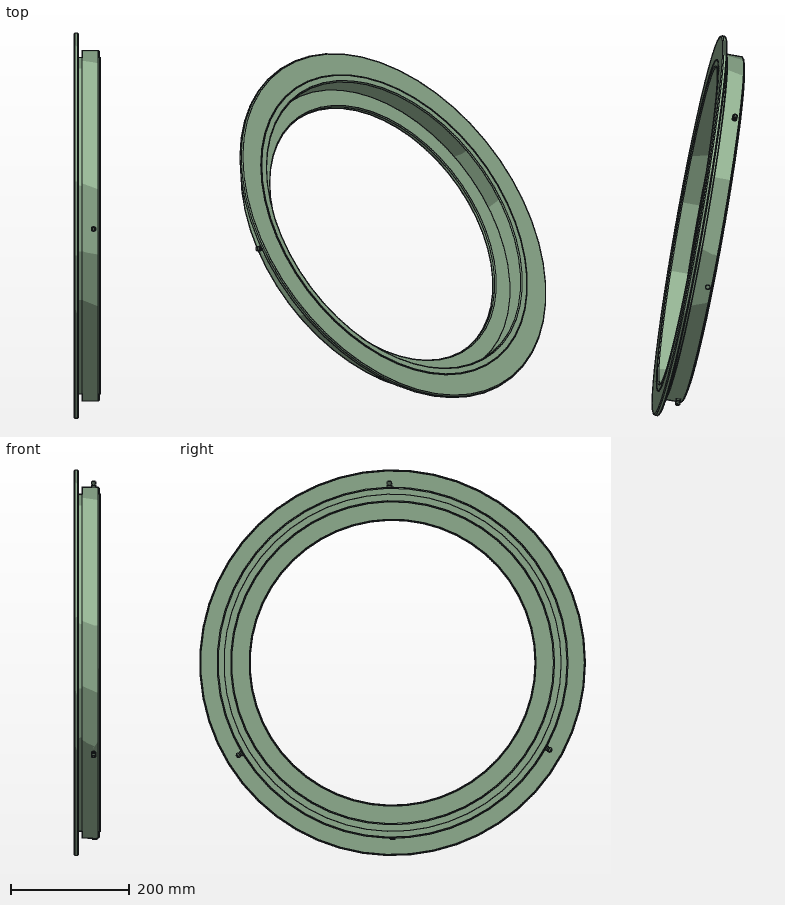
import cadquery as cq


TUBE_LENGTH = 45.0
TUBE_RADIUS = 284.0
TUBE_BORE_RADIUS = 271.0
TUBE_RIM_CHAMFER = 1.0

INNER_FLANGE_RADIUS = 240.0
INNER_FLANGE_THICKNESS = 9.0
INNER_FLANGE_FRONT = 31.0

OUTER_FLANGE_RADIUS = 325.0
OUTER_FLANGE_THICKNESS = 8.0

COLLAR_RADIUS = 296.0
COLLAR_FRONT = 13.5
COLLAR_SETBACK = 2.0
COLLAR_BACK = TUBE_LENGTH - COLLAR_SETBACK

EDGE_CHAMFER = 2.0

NIPPLE_COUNT = 3
NIPPLE_X = 33.0
NIPPLE_START_ANGLE = 1.0
NIPPLE_RADIUS = 4.0
NIPPLE_NECK_RADIUS = 2.5
NIPPLE_TIP_RADIUS = 2.0
NIPPLE_BASE_HEIGHT = 2.5
NIPPLE_NECK_TOP = 5.0
NIPPLE_HEAD_TOP = 8.5
NIPPLE_HEIGHT = 10.5

PLUG_X = 35.0
PLUG_ANGLE = 180.0
PLUG_RADIUS = 4.0
PLUG_HEIGHT = 2.0

SOCKET_DEPTH = 6.5
SOCKET_FLOOR = COLLAR_RADIUS - SOCKET_DEPTH


def turned_ring(outline):
    """Revolve an outline of (x, radius) points about the X axis."""
    return cq.Workplane("XY").polyline(outline).close().revolve(360, (0, 0, 0), (1, 0, 0))


def place_on_collar(fitting, x, angle):
    """Move a fitting that points up +Z to x, then swing it from +Z toward -Y."""
    return fitting.translate((x, 0, 0)).rotate((0, 0, 0), (1, 0, 0), angle)


def make_tube():
    return turned_ring([
        (0, TUBE_RADIUS - TUBE_RIM_CHAMFER),
        (TUBE_RIM_CHAMFER, TUBE_RADIUS),
        (TUBE_LENGTH, TUBE_RADIUS),
        (TUBE_LENGTH, TUBE_BORE_RADIUS + EDGE_CHAMFER),
        (TUBE_LENGTH - EDGE_CHAMFER, TUBE_BORE_RADIUS),
        (EDGE_CHAMFER, TUBE_BORE_RADIUS),
        (0, TUBE_BORE_RADIUS + EDGE_CHAMFER),
    ])


def make_inner_flange():
    back = INNER_FLANGE_FRONT + INNER_FLANGE_THICKNESS
    return turned_ring([
        (INNER_FLANGE_FRONT, TUBE_BORE_RADIUS),
        (INNER_FLANGE_FRONT, INNER_FLANGE_RADIUS + EDGE_CHAMFER),
        (INNER_FLANGE_FRONT + EDGE_CHAMFER, INNER_FLANGE_RADIUS),
        (back - EDGE_CHAMFER, INNER_FLANGE_RADIUS),
        (back, INNER_FLANGE_RADIUS + EDGE_CHAMFER),
        (back, TUBE_BORE_RADIUS),
    ])


def make_outer_flange():
    return turned_ring([
        (0, TUBE_RADIUS),
        (0, OUTER_FLANGE_RADIUS - EDGE_CHAMFER),
        (EDGE_CHAMFER, OUTER_FLANGE_RADIUS),
        (OUTER_FLANGE_THICKNESS - EDGE_CHAMFER, OUTER_FLANGE_RADIUS),
        (OUTER_FLANGE_THICKNESS, OUTER_FLANGE_RADIUS - EDGE_CHAMFER),
        (OUTER_FLANGE_THICKNESS, TUBE_RADIUS),
    ])


def make_collar(fittings):
    collar = turned_ring([
        (COLLAR_FRONT, TUBE_RADIUS),
        (COLLAR_FRONT, COLLAR_RADIUS),
        (COLLAR_BACK - EDGE_CHAMFER, COLLAR_RADIUS),
        (COLLAR_BACK, COLLAR_RADIUS - EDGE_CHAMFER),
        (COLLAR_BACK, TUBE_RADIUS),
    ])
    for fitting in fittings:
        collar = collar.cut(fitting)
    return collar


def make_nipple(angle):
    outline = [
        (0, SOCKET_FLOOR),
        (NIPPLE_RADIUS, SOCKET_FLOOR),
        (NIPPLE_RADIUS, COLLAR_RADIUS + NIPPLE_BASE_HEIGHT),
        (NIPPLE_NECK_RADIUS, COLLAR_RADIUS + NIPPLE_BASE_HEIGHT),
        (NIPPLE_NECK_RADIUS, COLLAR_RADIUS + NIPPLE_NECK_TOP),
        (NIPPLE_RADIUS, COLLAR_RADIUS + NIPPLE_NECK_TOP),
        (NIPPLE_RADIUS, COLLAR_RADIUS + NIPPLE_HEAD_TOP),
        (NIPPLE_TIP_RADIUS, COLLAR_RADIUS + NIPPLE_HEIGHT),
        (0, COLLAR_RADIUS + NIPPLE_HEIGHT),
    ]
    nipple = cq.Workplane("XZ").polyline(outline).close().revolve(360, (0, 0, 0), (0, 1, 0))
    return place_on_collar(nipple, NIPPLE_X, angle)


def make_plug():
    plug = cq.Workplane("XY").workplane(offset=SOCKET_FLOOR)
    plug = plug.circle(PLUG_RADIUS).extrude(SOCKET_DEPTH + PLUG_HEIGHT)
    return place_on_collar(plug, PLUG_X, PLUG_ANGLE)


nipples = [make_nipple(NIPPLE_START_ANGLE + i * 360 / NIPPLE_COUNT) for i in range(NIPPLE_COUNT)]
plug = make_plug()
tube = make_tube()
inner_flange = make_inner_flange()
outer_flange = make_outer_flange()
collar = make_collar(nipples + [plug])

result = cq.Compound.makeCompound([
    tube.val(),
    inner_flange.val(),
    outer_flange.val(),
    collar.val(),
    *[nipple.val() for nipple in nipples],
    plug.val(),
])